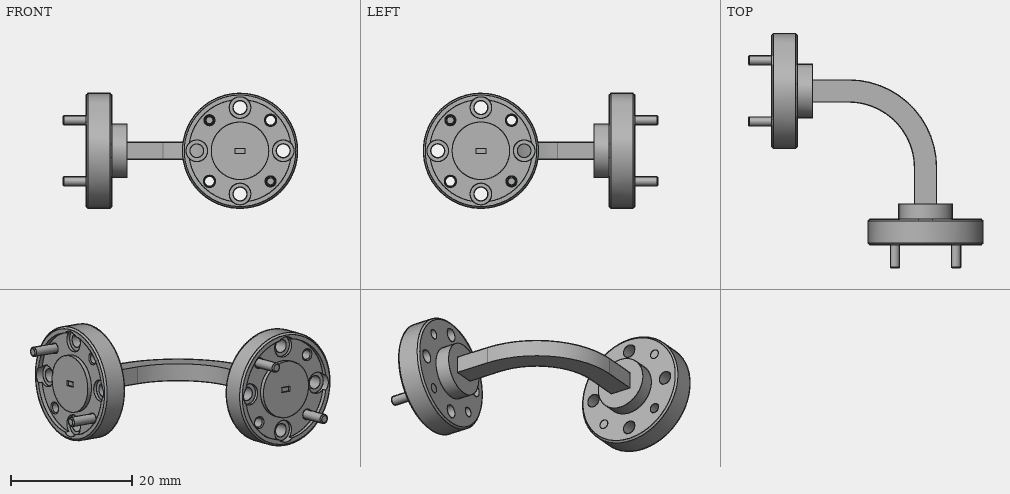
import cadquery as cq
import math

OVERALL = 38.8
LEG_LENGTH = 25.4
BEND_RADIUS = 12.7

TUBE_WIDTH = 3.7
TUBE_HEIGHT = 2.87
BORE_WIDTH = 1.63
BORE_HEIGHT = 0.8
BORE_DEPTH = 0.3

FLANGE_DIAMETER = 19.05
FLANGE_THICKNESS = 4.23
FLANGE_CHAMFER = 0.3
HUB_DIAMETER = 8.9
HUB_LENGTH = 2.52

RECESS_OUTER_DIAMETER = 16.95
RECESS_INNER_DIAMETER = 9.5
RECESS_DEPTH = 0.78

BOLT_CIRCLE_RADIUS = 7.15
SCREW_HOLE_DIAMETER = 2.25
COUNTERBORE_DIAMETER = 3.57
COUNTERBORE_DEPTH = 1.35
PIN_DIAMETER = 1.55
PIN_CHAMFER = 0.2
PIN_PROTRUSION = OVERALL - LEG_LENGTH - FLANGE_DIAMETER / 2
PIN_COUNTERSINK_DIAMETER = 1.82
DOWEL_HOLE_DIAMETER = 1.63
DOWEL_COUNTERSINK_DIAMETER = 2.0

FACE_PLANES = [
    cq.Plane(origin=(0, -LEG_LENGTH, 0), xDir=(1, 0, 0), normal=(0, -1, 0)),
    cq.Plane(origin=(-LEG_LENGTH, 0, 0), xDir=(0, -1, 0), normal=(-1, 0, 0)),
]


def on_bolt_circle(*angles):
    """Bolt-circle points in a flange face at the given angles in degrees."""
    return [
        (BOLT_CIRCLE_RADIUS * math.cos(math.radians(a)), BOLT_CIRCLE_RADIUS * math.sin(math.radians(a)))
        for a in angles
    ]


SCREW_POINTS = on_bolt_circle(0, 90, 180, 270)
PIN_POINTS = on_bolt_circle(135, 315)
DOWEL_HOLE_POINTS = on_bolt_circle(45, 225)


def make_tube():
    """Rectangular tube with two straight legs and a quarter-circle bend."""
    hub_end = LEG_LENGTH - FLANGE_THICKNESS - HUB_LENGTH
    bend_middle = BEND_RADIUS * (1 - math.sqrt(0.5))
    path = (
        cq.Workplane("XY")
        .moveTo(0, -hub_end)
        .lineTo(0, -BEND_RADIUS)
        .threePointArc((-bend_middle, -bend_middle), (-BEND_RADIUS, 0))
        .lineTo(-hub_end, 0)
    )
    return cq.Workplane("XZ", origin=(0, -hub_end, 0)).rect(TUBE_WIDTH, TUBE_HEIGHT).sweep(path)


def holes(plane, points, diameter, depth):
    """Round cutters running inward from the flange face."""
    return cq.Workplane(plane).pushPoints(points).circle(diameter / 2).extrude(-depth)


def countersinks(plane, points, hole_diameter, mouth_diameter):
    """45-degree conical cutters narrowing from the recess floor to the hole size."""
    return (
        cq.Workplane(plane)
        .workplane(offset=-RECESS_DEPTH)
        .pushPoints(points)
        .circle(mouth_diameter / 2)
        .extrude(-(mouth_diameter - hole_diameter) / 2, taper=45)
    )


def make_flange(plane):
    """Flange disc with its hub, face recess and all of its holes."""
    disc = cq.Workplane(plane).circle(FLANGE_DIAMETER / 2).extrude(-FLANGE_THICKNESS)
    disc = disc.edges().chamfer(FLANGE_CHAMFER)
    hub = (
        cq.Workplane(plane)
        .workplane(offset=-FLANGE_THICKNESS)
        .circle(HUB_DIAMETER / 2)
        .extrude(-HUB_LENGTH)
    )
    recess = (
        cq.Workplane(plane)
        .circle(RECESS_OUTER_DIAMETER / 2)
        .circle(RECESS_INNER_DIAMETER / 2)
        .extrude(-RECESS_DEPTH)
    )
    bore = cq.Workplane(plane).rect(BORE_WIDTH, BORE_HEIGHT).extrude(-BORE_DEPTH)
    return (
        disc.union(hub)
        .cut(recess)
        .cut(bore)
        .cut(holes(plane, SCREW_POINTS, COUNTERBORE_DIAMETER, COUNTERBORE_DEPTH))
        .cut(holes(plane, SCREW_POINTS, SCREW_HOLE_DIAMETER, FLANGE_THICKNESS))
        .cut(holes(plane, DOWEL_HOLE_POINTS, DOWEL_HOLE_DIAMETER, FLANGE_THICKNESS))
        .cut(countersinks(plane, DOWEL_HOLE_POINTS, DOWEL_HOLE_DIAMETER, DOWEL_COUNTERSINK_DIAMETER))
        .cut(holes(plane, PIN_POINTS, PIN_DIAMETER, FLANGE_THICKNESS))
        .cut(countersinks(plane, PIN_POINTS, PIN_DIAMETER, PIN_COUNTERSINK_DIAMETER))
    )


def make_pins(plane):
    """Two dowel pins reaching from the back of the flange out past its face."""
    return (
        cq.Workplane(plane)
        .workplane(offset=-FLANGE_THICKNESS)
        .pushPoints(PIN_POINTS)
        .circle(PIN_DIAMETER / 2)
        .extrude(FLANGE_THICKNESS + PIN_PROTRUSION)
        .faces(cq.selectors.DirectionMinMaxSelector(plane.zDir, True))
        .edges()
        .chamfer(PIN_CHAMFER)
    )


waveguide = make_tube()
for face_plane in FACE_PLANES:
    waveguide = waveguide.union(make_flange(face_plane))

pins = []
for face_plane in FACE_PLANES:
    pins.extend(make_pins(face_plane).solids().vals())

result = cq.Compound.makeCompound([waveguide.val(), *pins])